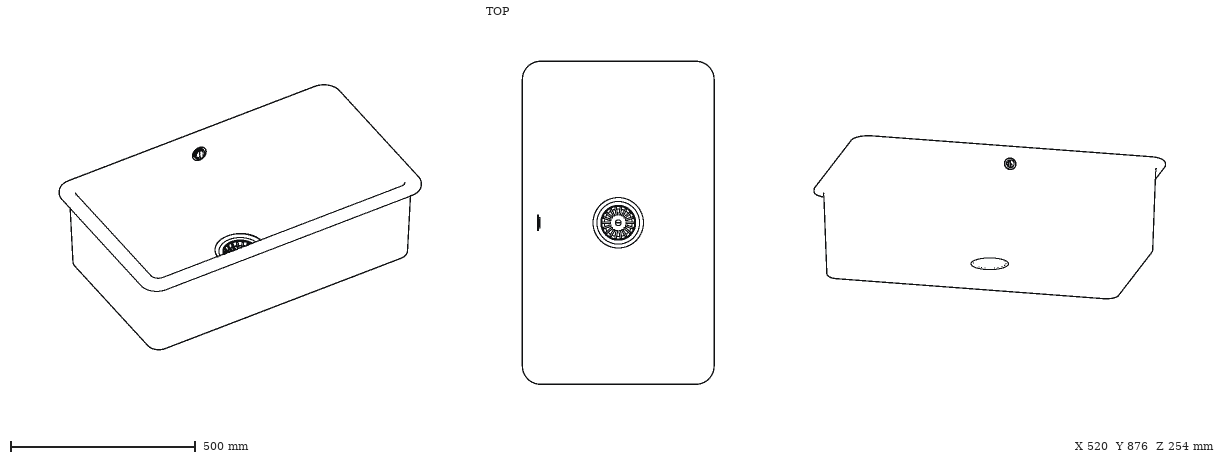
import cadquery as cq
import math

WIDTH = 520.0
LENGTH = 876.0
HEIGHT = 254.0

RIM_THICKNESS = 13.0
RIM_CORNER = 50.0
RIM_ROUND = 6.0
RIM_UNDER_ROUND = 3.0
RIM_ROOT_FILLET = 5.0

OUTER_INSET = 24.0
INNER_INSET = 40.0
WALL_DRAFT = 1.7
OUTER_CORNER = 36.0
INNER_CORNER = 22.0
MOUTH_ROUND = 6.0
BASE_ROUND = 6.0

FLOOR_Z = 26.0
FLOOR_END_SLOPE = 1.9
FLOOR_SIDE_SLOPE = 0.1
FLOOR_FILLET = 14.0

RECESS_RIM_RADIUS = 68.0
RECESS_DEPTH = 4.0
FLANGE_RADIUS = 58.0
FLANGE_THICKNESS = 4.0
CUP_RADIUS = 51.0
CUP_BORE = 45.0
CUP_FLOOR = 3.0

BASKET_RADIUS = 47.0
BASKET_THICKNESS = 3.0
BASKET_DEPTH = 16.0
BASKET_BEND_RADIUS = 38.0
BASKET_BEND_DEPTH = 10.5
BASKET_DISC_RADIUS = 19.0
SLOT_COUNT = 18
SLOT_WIDTH = 4.0
SLOT_INNER_RADIUS = 21.0
SLOT_OUTER_RADIUS = 44.0

SCREW_RADIUS = 8.0
SCREW_HEIGHT = 3.5
SCREW_SLOT_WIDTH = 2.0
SCREW_SLOT_DEPTH = 2.0

OVERFLOW_DROP = 45.0
TUBE_RADIUS = 16.0
TUBE_BORE = 10.5
TUBE_PROJECTION = 4.0
TUBE_WEB = 2.0
TUBE_FLANGE_RADIUS = 21.0
TUBE_FLANGE_THICKNESS = 3.0
CAP_RADIUS = 14.0
CAP_THICKNESS = 3.5

draft_slope = math.tan(math.radians(WALL_DRAFT))
wall_thickness = (INNER_INSET - OUTER_INSET) * math.cos(math.radians(WALL_DRAFT))
flange_top_z = FLOOR_Z - RECESS_DEPTH
flange_seat_z = flange_top_z - FLANGE_THICKNESS
basket_seat_z = flange_top_z - BASKET_THICKNESS
basket_disc_z = flange_top_z - BASKET_DEPTH
tube_end = wall_thickness + TUBE_FLANGE_THICKNESS
mouth_inset = INNER_INSET - MOUTH_ROUND


def drafted_block(inset, corner):
    """Block below the rim's top plane that narrows downwards and has constant corner radii."""
    block = (
        cq.Workplane("XY", origin=(0, 0, HEIGHT))
        .rect(WIDTH - 2 * inset, LENGTH - 2 * inset)
        .extrude(-HEIGHT, taper=WALL_DRAFT)
    )
    return block.edges("not (|X or |Y)").fillet(corner)


def loop_at(z, inset):
    """Selector for the edges near height z that lie at least `inset` inside the rim's outline."""
    half_x = WIDTH / 2 - inset
    half_y = LENGTH / 2 - inset
    margin = 1.0
    return cq.selectors.BoxSelector(
        (-half_x, -half_y, z - margin), (half_x, half_y, z + margin), boundingbox=True
    )


def make_cavity():
    """Bowl space: one quarter over a tilted flat floor, mirrored across both centre planes."""
    deep = drafted_block(INNER_INSET, INNER_CORNER)
    below_floor = (
        cq.Workplane("XY")
        .box(2 * WIDTH, 2 * LENGTH, HEIGHT, centered=(True, True, False))
        .translate((0, 0, -HEIGHT))
        .rotate((0, 0, 0), (1, 0, 0), FLOOR_END_SLOPE)
        .rotate((0, 0, 0), (0, 1, 0), -FLOOR_SIDE_SLOPE)
        .translate((0, 0, FLOOR_Z))
    )
    bowl = deep.cut(below_floor).faces("<Z").edges().fillet(FLOOR_FILLET)
    quarter = bowl.intersect(
        cq.Workplane("XY").box(WIDTH, LENGTH, HEIGHT, centered=False)
    )
    half = quarter.union(quarter.mirror("YZ"))
    return half.union(half.mirror("XZ"))


def revolved(profile):
    """Solid of revolution about Z from (radius, z) points."""
    return cq.Workplane("XZ").polyline(profile).close().revolve(360, (0, 0, 0), (0, 1, 0))


def overflow_disc(radius, start, end):
    """Cylinder square to the drafted -X wall; start and end run inward from its outer face."""
    inward = cq.Vector(1, 0, draft_slope).normalized()
    on_wall = cq.Vector(-WIDTH / 2 + OUTER_INSET + OVERFLOW_DROP * draft_slope, 0, HEIGHT - OVERFLOW_DROP)
    plane = cq.Plane(origin=on_wall + inward * start, xDir=(0, 1, 0), normal=inward)
    return cq.Workplane(plane).circle(radius).extrude(end - start)


def make_sink():
    rim = (
        cq.Workplane("XY", origin=(0, 0, HEIGHT - RIM_THICKNESS))
        .rect(WIDTH, LENGTH)
        .extrude(RIM_THICKNESS)
        .edges("|Z")
        .fillet(RIM_CORNER)
        .faces(">Z")
        .edges()
        .fillet(RIM_ROUND)
        .faces("<Z")
        .edges()
        .fillet(RIM_UNDER_ROUND)
    )
    shell = drafted_block(OUTER_INSET, OUTER_CORNER).faces("<Z").edges().fillet(BASE_ROUND)
    sink = rim.union(shell)
    sink = sink.edges(loop_at(HEIGHT - RIM_THICKNESS, OUTER_INSET)).fillet(RIM_ROOT_FILLET)
    sink = sink.cut(make_cavity())
    sink = sink.edges(loop_at(HEIGHT, mouth_inset)).fillet(MOUTH_ROUND)
    recess = revolved(
        [
            (0, 0),
            (CUP_RADIUS, 0),
            (CUP_RADIUS, flange_seat_z),
            (FLANGE_RADIUS, flange_seat_z),
            (FLANGE_RADIUS, flange_top_z),
            (RECESS_RIM_RADIUS, FLOOR_Z),
            (RECESS_RIM_RADIUS, HEIGHT),
            (0, HEIGHT),
        ]
    )
    overflow_hole = overflow_disc(TUBE_RADIUS, 0, tube_end)
    return sink.cut(recess).cut(overflow_hole)


def make_waste():
    """Cup in the drain hole: a flange in the recess, and a ledge for the basket's lip."""
    return revolved(
        [
            (0, 0),
            (CUP_RADIUS, 0),
            (CUP_RADIUS, flange_seat_z),
            (FLANGE_RADIUS, flange_seat_z),
            (FLANGE_RADIUS, flange_top_z),
            (BASKET_RADIUS, flange_top_z),
            (BASKET_RADIUS, basket_seat_z),
            (CUP_BORE, basket_seat_z),
            (CUP_BORE, CUP_FLOOR),
            (0, CUP_FLOOR),
        ]
    )


def make_basket():
    """Dished strainer with radial slots around a flat centre disc."""
    upper_face = [
        (0, basket_disc_z),
        (BASKET_DISC_RADIUS, basket_disc_z),
        (BASKET_BEND_RADIUS, flange_top_z - BASKET_BEND_DEPTH),
        (CUP_BORE, flange_top_z),
        (BASKET_RADIUS, flange_top_z),
    ]
    lower_face = [(radius, z - BASKET_THICKNESS) for radius, z in reversed(upper_face)]
    slots = (
        cq.Workplane("XY")
        .polarArray((SLOT_INNER_RADIUS + SLOT_OUTER_RADIUS) / 2, 0, 360, SLOT_COUNT)
        .slot2D(SLOT_OUTER_RADIUS - SLOT_INNER_RADIUS, SLOT_WIDTH)
        .extrude(HEIGHT)
    )
    return revolved(upper_face + lower_face).cut(slots)


def make_screw():
    screw = cq.Workplane("XY", origin=(0, 0, basket_disc_z)).circle(SCREW_RADIUS).extrude(SCREW_HEIGHT)
    return screw.faces(">Z").workplane().rect(2 * SCREW_RADIUS, SCREW_SLOT_WIDTH).cutBlind(-SCREW_SLOT_DEPTH)


def make_overflow_tube():
    """Sleeve through the wall with an inner flange and an upright web across its bore."""
    sleeve = overflow_disc(TUBE_RADIUS, -TUBE_PROJECTION, tube_end)
    flange = overflow_disc(TUBE_FLANGE_RADIUS, wall_thickness, tube_end)
    bore = overflow_disc(TUBE_BORE, -TUBE_PROJECTION, tube_end)
    web = cq.Workplane("XY").box(WIDTH, TUBE_WEB, 2 * HEIGHT)
    return sleeve.union(flange).cut(bore.cut(web))


def make_overflow_cap():
    """Disc that closes the bore on the tube's inner face."""
    return overflow_disc(CAP_RADIUS, tube_end, tube_end + CAP_THICKNESS)


sink = make_sink()
waste = make_waste()
basket = make_basket()
screw = make_screw()
overflow_tube = make_overflow_tube()
overflow_cap = make_overflow_cap()

bodies = [sink, waste, basket, screw, overflow_tube, overflow_cap]
result = cq.Compound.makeCompound([body.solids().val() for body in bodies])